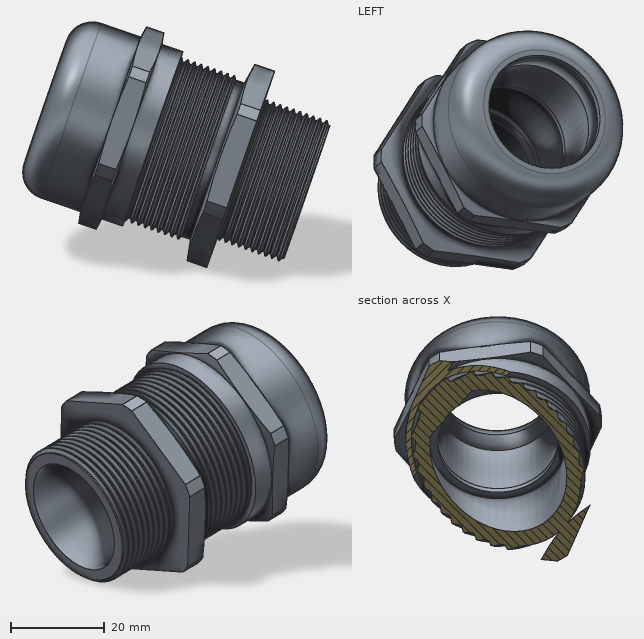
import cadquery as cq
import math


ROLL = 8
PITCH_DOWN = 18
YAW = 22

TOTAL_LENGTH = 59.35

HEX_FLATS = 40.0
HEX_CORNER_DIAMETER = 44.6
HEX_FACE_SLOPE = 10

REAR_PITCHES = 10
REAR_THREAD_LENGTH = 15.0
PITCH = REAR_THREAD_LENGTH / REAR_PITCHES
FLANK = PITCH * 5 / 16
CREST_FLAT = PITCH / 8
REAR_CREST_DIAMETER = 31.85
REAR_ROOT_DIAMETER = 30.25
FRONT_PITCHES = 15
FRONT_ROOT_DIAMETER = 35.5
FRONT_CREST_DIAMETER = FRONT_ROOT_DIAMETER + REAR_CREST_DIAMETER - REAR_ROOT_DIAMETER

BODY_HEX_FRONT = 39.05
BODY_HEX_REAR = TOTAL_LENGTH - REAR_THREAD_LENGTH
COLLAR_LENGTH = 1.6
FRONT_THREAD_END = BODY_HEX_FRONT - COLLAR_LENGTH
BODY_RIM = FRONT_THREAD_END - FRONT_PITCHES * PITCH
THROAT_DIAMETER = 25.85
THROAT_END = 22.85
CHAMBER_DIAMETER = 29.25
CHAMBER_REAR = 40.25
EXIT_DIAMETER = 25.3
EXIT_CHAMFER = 1.1

SEAL_FRONT = 7.2
SEAL_END = 21.5
SEAL_BORE_DIAMETER = 25.85
SEAL_DIAMETER = 30.05

RING_FRONT = 6.8
RING_DIAMETER = 32.4

CAP_DIAMETER = 39.65
CAP_LENGTH = 24.4
CAP_FACE_DIAMETER = 28.0
CAP_ROUND = (CAP_DIAMETER - CAP_FACE_DIAMETER) / 2
CAP_MOUTH_DIAMETER = 25.5
CAP_LIP = 1.55
CAP_HEX_FRONT = 14.8
CAP_HEX_REAR = 19.6


def revolved(points):
    """Solid of revolution about X from an outline of (x, diameter) points."""
    outline = [(x, diameter / 2) for x, diameter in points]
    return cq.Workplane("XY").polyline(outline).close().revolve(360, (0, 0, 0), (1, 0, 0))


def tube(start, end, outer, inner):
    """Plain tube along X."""
    return revolved([(start, inner), (start, outer), (end, outer), (end, inner)])


def hexagon(front, rear, base_diameter, rear_slope):
    """Hexagon with rounded corners and coned end faces.

    front and rear are the face positions at base_diameter.
    """
    rise = (HEX_CORNER_DIAMETER - base_diameter) / 2
    front_setback = rise * math.tan(math.radians(HEX_FACE_SLOPE))
    rear_setback = rise * math.tan(math.radians(rear_slope))
    disc = revolved([
        (front, 0),
        (front, base_diameter),
        (front + front_setback, HEX_CORNER_DIAMETER),
        (rear - rear_setback, HEX_CORNER_DIAMETER),
        (rear, base_diameter),
        (rear, 0),
    ])
    across_corners = HEX_FLATS / math.cos(math.radians(30))
    prism = (
        cq.Workplane("YZ")
        .workplane(offset=front)
        .polygon(6, across_corners)
        .extrude(rear - front)
    )
    return disc.intersect(prism)


def thread_outline(start, pitches, crest, root):
    """Outline points of annular ridges, each followed by a root flat."""
    points = [(start, root)]
    for i in range(pitches):
        x = start + i * PITCH
        points += [
            (x + FLANK, crest),
            (x + FLANK + CREST_FLAT, crest),
            (x + 2 * FLANK + CREST_FLAT, root),
            (x + PITCH, root),
        ]
    return points


def placed(part):
    """Turn a part from the X axis to the tilted gland axis."""
    origin = (0, 0, 0)
    return (
        part.rotate(origin, (1, 0, 0), ROLL)
        .rotate(origin, (0, 1, 0), PITCH_DOWN)
        .rotate(origin, (0, 0, 1), YAW)
    )


def make_cap():
    """Domed cap nut with a conical inside behind its mouth."""
    shell = (
        cq.Workplane("XY")
        .moveTo(0, 0)
        .lineTo(0, CAP_FACE_DIAMETER / 2)
        .radiusArc((CAP_ROUND, CAP_DIAMETER / 2), CAP_ROUND)
        .lineTo(CAP_LENGTH, CAP_DIAMETER / 2)
        .lineTo(CAP_LENGTH, 0)
        .close()
        .revolve(360, (0, 0, 0), (1, 0, 0))
    )
    cavity = revolved([
        (0, 0),
        (0, CAP_MOUTH_DIAMETER),
        (CAP_LIP, CAP_MOUTH_DIAMETER),
        (RING_FRONT, RING_DIAMETER),
        (BODY_RIM, RING_DIAMETER),
        (BODY_RIM, FRONT_CREST_DIAMETER),
        (CAP_LENGTH, FRONT_CREST_DIAMETER),
        (CAP_LENGTH, 0),
    ])
    grip = hexagon(CAP_HEX_FRONT, CAP_HEX_REAR, CAP_DIAMETER, HEX_FACE_SLOPE)
    return shell.union(grip).cut(cavity)


def make_body():
    """Double-threaded body with a seal seat, a throat and a wider chamber."""
    front = revolved(
        [(BODY_RIM, 0)]
        + thread_outline(BODY_RIM, FRONT_PITCHES, FRONT_CREST_DIAMETER, FRONT_ROOT_DIAMETER)
        + [(BODY_HEX_REAR, FRONT_ROOT_DIAMETER), (BODY_HEX_REAR, 0)]
    )
    rear = revolved(
        [(BODY_HEX_REAR, 0)]
        + thread_outline(BODY_HEX_REAR, REAR_PITCHES, REAR_CREST_DIAMETER, REAR_ROOT_DIAMETER)
        + [(TOTAL_LENGTH, 0)]
    )
    grip = hexagon(BODY_HEX_FRONT, BODY_HEX_REAR, FRONT_ROOT_DIAMETER, 0)
    bore = revolved([
        (BODY_RIM, 0),
        (BODY_RIM, SEAL_DIAMETER),
        (SEAL_END, SEAL_DIAMETER),
        (SEAL_END, THROAT_DIAMETER),
        (THROAT_END, THROAT_DIAMETER),
        (THROAT_END, CHAMBER_DIAMETER),
        (CHAMBER_REAR, CHAMBER_DIAMETER),
        (CHAMBER_REAR, EXIT_DIAMETER + 2 * EXIT_CHAMFER),
        (CHAMBER_REAR + EXIT_CHAMFER, EXIT_DIAMETER),
        (TOTAL_LENGTH, EXIT_DIAMETER),
        (TOTAL_LENGTH, 0),
    ])
    return front.union(rear).union(grip).cut(bore)


cap = placed(make_cap())
body = placed(make_body())
seal = placed(tube(SEAL_FRONT, SEAL_END, SEAL_DIAMETER, SEAL_BORE_DIAMETER))
clamping_ring = placed(tube(RING_FRONT, BODY_RIM, RING_DIAMETER, SEAL_DIAMETER))

result = cq.Compound.makeCompound([cap.val(), body.val(), seal.val(), clamping_ring.val()])